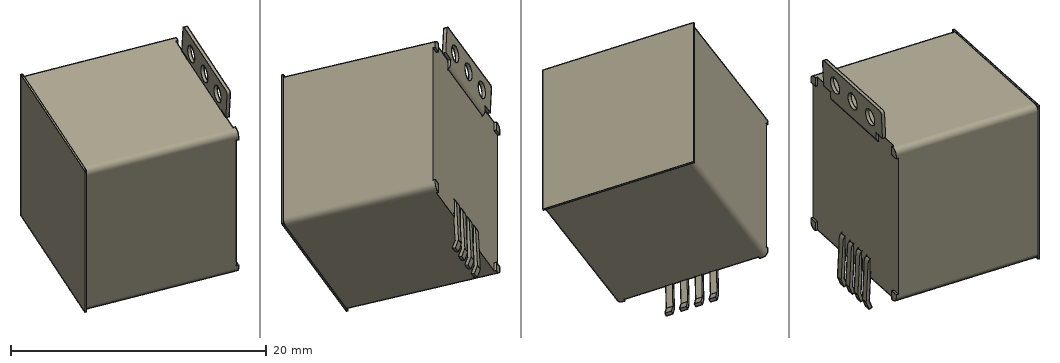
import cadquery as cq
import math

TOTAL_HEIGHT = 19.51
TOTAL_DEPTH = 13.19
BOX_WIDTH = 13.2
BOX_HEIGHT = 14.09
BOX_BOTTOM = 2.95
BOX_MID = BOX_BOTTOM + BOX_HEIGHT / 2
FRONT_PLATE_THICKNESS = 0.15
BACK_FACE = 12.84
CORNER_RADIUS = 0.5

PAD_WIDTH = 0.72
PAD_TALL = 0.78
PAD_RISE = 0.2

SHEET = 0.3
LEAN = math.tan(math.radians(2.7))
INNER_BEND = 0.3
OUTER_BEND = INNER_BEND + SHEET
LEG_DEPTH = 0.78
LEG_END = BACK_FACE - LEG_DEPTH

TAB_WIDTH = 9.1
TAB_NECK_WIDTH = 7.02
TAB_LEG_BOTTOM = 16.02
TAB_CORNER_RADIUS = 0.25
HOLE_DIAMETER = 1.4
HOLE_PITCH = 2.71
HOLE_COUNT = 3
HOLE_Z = 18.05

PIN_COUNT = 4
PIN_WIDTH = 0.59
PIN_PITCH = 1.29
PIN_LEG_TOP = 4.78
PIN_KNEE_Z = 0.72
TOE_ANGLE = math.radians(20)


def row(count, pitch):
    """X positions of evenly spaced features centred on X = 0."""
    return [(i - (count - 1) / 2) * pitch for i in range(count)]


def make_front_plate():
    """Square-cornered plate that closes the front of the box."""
    return cq.Workplane("XY").box(BOX_WIDTH, FRONT_PLATE_THICKNESS, BOX_HEIGHT).translate(
        (0, FRONT_PLATE_THICKNESS / 2, BOX_MID)
    )


def make_housing(inserts):
    """Block with rounded long edges and back pads, recessed where the inserts enter it."""
    depth = BACK_FACE + PAD_RISE - FRONT_PLATE_THICKNESS
    block = (
        cq.Workplane("XY")
        .box(BOX_WIDTH, depth, BOX_HEIGHT)
        .edges("|Y")
        .fillet(CORNER_RADIUS)
        .translate((0, FRONT_PLATE_THICKNESS + depth / 2, BOX_MID))
    )
    band_y = BACK_FACE + PAD_RISE / 2
    band_sizes = [
        (BOX_WIDTH - 2 * PAD_WIDTH, BOX_HEIGHT),
        (BOX_WIDTH, BOX_HEIGHT - 2 * PAD_TALL),
    ]
    for width, height in band_sizes:
        band = cq.Workplane("XY").box(width, PAD_RISE, height)
        block = block.cut(band.translate((0, band_y, BOX_MID)))
    for insert in inserts:
        block = block.cut(insert)
    return block


def bent_sheet(width, leg_z, tip_z, toe_points):
    """Sheet with a level leg in the housing and a leaning arm reaching tip_z.

    toe_points continue the outline from the outer end of the arm to its inner end.
    """
    arm_side = math.copysign(1, tip_z - leg_z)
    leg_inner_z = leg_z + arm_side * SHEET
    outer_corner = (TOTAL_DEPTH - LEAN * abs(tip_z - leg_z), leg_z)
    inner_corner = (outer_corner[0] + LEAN * SHEET - SHEET, leg_inner_z)
    sheet = (
        cq.Workplane("YZ")
        .moveTo(LEG_END, leg_z)
        .lineTo(*outer_corner)
        .polyline([(TOTAL_DEPTH, tip_z), *toe_points], includeCurrent=True)
        .lineTo(*inner_corner)
        .lineTo(LEG_END, leg_inner_z)
        .close()
        .extrude(width / 2, both=True)
    )
    for corner, radius in ((outer_corner, OUTER_BEND), (inner_corner, INNER_BEND)):
        bend_edge = cq.selectors.NearestToPointSelector((0, *corner))
        sheet = sheet.edges("|X").edges(bend_edge).fillet(radius)
    return sheet


def make_tab():
    """Upright plate with a row of holes, on a neck that bends into the housing."""
    arm_end = [(TOTAL_DEPTH - SHEET, TOTAL_HEIGHT)]
    tab = bent_sheet(TAB_WIDTH, TAB_LEG_BOTTOM, TOTAL_HEIGHT, arm_end)
    tab = tab.faces(">Z").edges("<X or >X").fillet(TAB_CORNER_RADIUS)
    shoulder_width = (TAB_WIDTH - TAB_NECK_WIDTH) / 2
    shoulder_x = (TAB_WIDTH + TAB_NECK_WIDTH) / 4
    for x in (-shoulder_x, shoulder_x):
        cutter = cq.Workplane("XY").box(shoulder_width, TOTAL_DEPTH, BOX_HEIGHT)
        tab = tab.cut(cutter.translate((x, TOTAL_DEPTH / 2, BOX_MID)))
    holes = (
        cq.Workplane("XZ")
        .pushPoints([(x, HOLE_Z) for x in row(HOLE_COUNT, HOLE_PITCH)])
        .circle(HOLE_DIAMETER / 2)
        .extrude(-TOTAL_DEPTH)
    )
    return tab.cut(holes)


def make_pin(x):
    """Pin whose arm hangs down and ends in a toe turned toward the front."""
    toe_outer = (TOTAL_DEPTH - PIN_KNEE_Z * math.tan(TOE_ANGLE), 0)
    toe_inner = (
        toe_outer[0] - SHEET * math.cos(TOE_ANGLE),
        SHEET * math.sin(TOE_ANGLE),
    )
    half_turn = (TOE_ANGLE - math.atan(LEAN)) / 2
    knee_inner = (TOTAL_DEPTH - SHEET, PIN_KNEE_Z + SHEET * math.tan(half_turn))
    pin = bent_sheet(PIN_WIDTH, PIN_LEG_TOP, PIN_KNEE_Z, [toe_outer, toe_inner, knee_inner])
    return pin.translate((x, 0, 0))


front_plate = make_front_plate()
tab = make_tab()
pins = [make_pin(x) for x in row(PIN_COUNT, PIN_PITCH)]
housing = make_housing([tab, *pins])

result = cq.Compound.makeCompound(
    [front_plate.val(), housing.val(), tab.val(), *[pin.val() for pin in pins]]
)